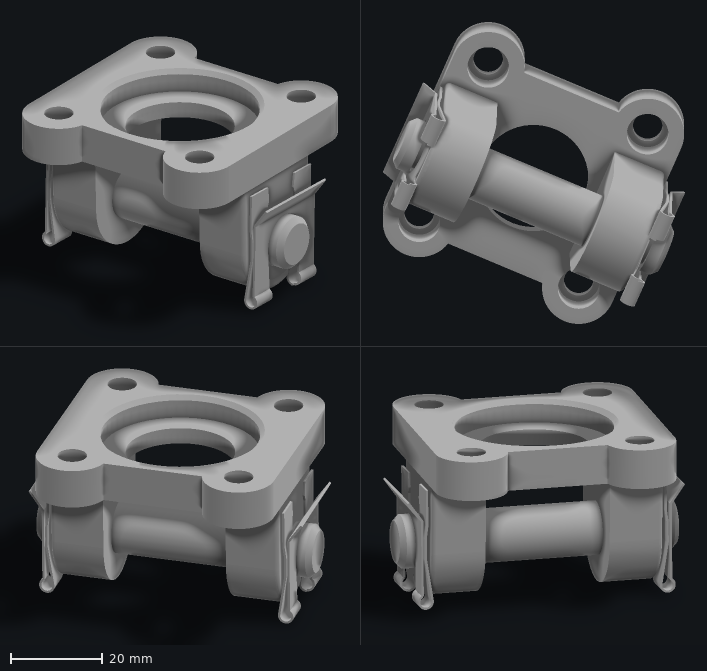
import cadquery as cq
import math


flange_top = 25.0
flange_thickness = 8.8
flange_bottom = flange_top - flange_thickness
hole_spacing = 38.0
ear_radius = 8.0
flange_length = hole_spacing + 2 * ear_radius
waist_width = 42.0
screw_hole_diameter = 6.5
screw_recess_diameter = 9.15
screw_seat_thickness = 2.3

bore_diameter = 24.0
seat_diameter = 34.95
seat_depth = 5.15
seat_chamfer = 1.0

lug_outer_x = 26.0
lug_thickness = 12.05
lug_radius = 12.0
lug_root_half_width = 12.5
lug_fillet = 0.95

pin_length = 63.0
pin_radius = 6.0
pin_chamfer = 1.25
groove_radius = 4.5
groove_outer_x = 27.65
groove_width = 1.1

sheet = 0.5
clip_half_width = 11.1
clip_tilt = -1.5
loop_outer_radius = 1.75
loop_radius = loop_outer_radius - sheet / 2
loop_inner_radius = loop_outer_radius - sheet
loop_x = -27.3
loop_z = -11.1
loop_half_gap = 4.7
gap_corner_radius = 0.75

front_leg_x = -28.05
front_hole_radius = 6.25
front_slot_taper = math.radians(5)
lip_bottom_z = 7.25
lip_tip_x = -31.05
lip_tip_z = 11.5

back_leg_lean = math.radians(9)
back_leg_bend_z = -1.4
back_hole_radius = 6.05
back_edge_radius = 9.5
prong_x = -26.9
prong_bend_z = 3.15
prong_straight_z = 6.0
prong_top_z = 14.1
prong_half_gap = 5.05
nose_half_gap = 4.55
nose_bottom_z = 9.45
nose_z = 10.85
mouth_half_gap = 5.0


def make_flange():
    """Plate with four round ears, recessed screw holes and a stepped bore."""
    base = cq.Workplane("XY", origin=(0, 0, flange_bottom))
    ear_centres = base.rect(hole_spacing, hole_spacing, forConstruction=True).vertices()
    flange = base.rect(flange_length, hole_spacing).extrude(flange_thickness)
    flange = flange.union(base.rect(hole_spacing, waist_width).extrude(flange_thickness))
    flange = flange.union(ear_centres.circle(ear_radius).extrude(flange_thickness))

    screw_recess_depth = flange_thickness - screw_seat_thickness
    flange = flange.cut(ear_centres.circle(screw_hole_diameter / 2).extrude(flange_thickness))
    flange = flange.cut(ear_centres.circle(screw_recess_diameter / 2).extrude(screw_recess_depth))

    bore = base.circle(bore_diameter / 2).extrude(flange_thickness)
    seat = cq.Workplane("XY", origin=(0, 0, flange_top)).circle(seat_diameter / 2).extrude(-seat_depth)
    flange = flange.cut(bore).cut(seat)
    seat_rim = cq.selectors.RadiusNthSelector(-1)
    return flange.faces(">Z").edges(seat_rim).chamfer(seat_chamfer)


def make_lug():
    """Lug on the -X side: sides that narrow slightly downwards into a half-round bottom."""
    lug = (
        cq.Workplane("YZ", origin=(-lug_outer_x, 0, 0))
        .moveTo(-lug_root_half_width, flange_bottom)
        .lineTo(-lug_radius, 0)
        .threePointArc((0, -lug_radius), (lug_radius, 0))
        .lineTo(lug_root_half_width, flange_bottom)
        .close()
        .extrude(lug_thickness)
    )
    return lug.faces("<X").edges("not >Z").fillet(lug_fillet)


def make_housing(pin, clips):
    """Flange with two lugs, bored for the pin and relieved where the clips press in."""
    lug = make_lug()
    pin_hole = cq.Workplane("YZ").circle(pin_radius).extrude(lug_outer_x, both=True)
    housing = make_flange().union(lug).union(lug.mirror("YZ")).cut(pin_hole)
    for clip in clips:
        housing = housing.cut(clip)
    return housing


def make_pin():
    """Chamfered pin with a retaining groove near each end."""
    pin = cq.Workplane("YZ").circle(pin_radius).extrude(pin_length / 2, both=True)
    pin = pin.faces("<X or >X").chamfer(pin_chamfer)
    groove = (
        cq.Workplane("YZ", origin=(-groove_outer_x, 0, 0))
        .circle(pin_radius)
        .circle(groove_radius)
        .extrude(groove_width)
    )
    return pin.cut(groove).cut(groove.mirror("YZ"))


def strip(path):
    """Bent sheet strip of full clip width whose middle follows the (x, z) path."""
    directions = [math.atan2(q[1] - p[1], q[0] - p[0]) for p, q in zip(path, path[1:])]
    before = directions[:1] + directions
    after = directions + directions[-1:]
    left_side = []
    right_side = []
    for (x, z), angle_in, angle_out in zip(path, before, after):
        normal = (angle_in + angle_out + math.pi) / 2
        reach = sheet / 2 / math.cos((angle_out - angle_in) / 2)
        dx = reach * math.cos(normal)
        dz = reach * math.sin(normal)
        left_side.append((x + dx, z + dz))
        right_side.append((x - dx, z - dz))
    outline = cq.Workplane("XZ").polyline(left_side + right_side[::-1]).close()
    return outline.extrude(clip_half_width, both=True)


def loop_point(radius, angle):
    return (loop_x + radius * math.cos(angle), loop_z + radius * math.sin(angle))


def make_loop(start_angle, end_angle):
    """Open round loop of full clip width, running anticlockwise under the loop centre."""
    middle_angle = (start_angle + end_angle) / 2
    return (
        cq.Workplane("XZ")
        .moveTo(*loop_point(loop_outer_radius, start_angle))
        .threePointArc(
            loop_point(loop_outer_radius, middle_angle),
            loop_point(loop_outer_radius, end_angle),
        )
        .lineTo(*loop_point(loop_inner_radius, end_angle))
        .threePointArc(
            loop_point(loop_inner_radius, middle_angle),
            loop_point(loop_inner_radius, start_angle),
        )
        .close()
        .extrude(clip_half_width, both=True)
    )


def cut_front_slot(leg):
    """Round hole for the pin with a slot below it that narrows downwards."""
    side_y = front_hole_radius * math.cos(front_slot_taper)
    side_z = -front_hole_radius * math.sin(front_slot_taper)
    slot_bottom_z = loop_z - loop_outer_radius
    bottom_y = side_y - (side_z - slot_bottom_z) * math.tan(front_slot_taper)
    slot = (
        cq.Workplane("YZ", origin=(lip_tip_x, 0, 0))
        .moveTo(-bottom_y, slot_bottom_z)
        .lineTo(-side_y, side_z)
        .threePointArc((0, front_hole_radius), (side_y, side_z))
        .lineTo(bottom_y, slot_bottom_z)
        .close()
        .extrude(loop_x - lip_tip_x)
    )
    return leg.cut(slot)


def make_back_opening(section, depth):
    """Tool for the back leg: pin clearance below the bend and a slot between nosed prongs above."""
    clearance_y = math.sqrt(back_hole_radius**2 - back_leg_bend_z**2)
    return (
        section.moveTo(-clearance_y, back_leg_bend_z)
        .threePointArc((0, -back_hole_radius), (clearance_y, back_leg_bend_z))
        .lineTo(prong_half_gap, back_leg_bend_z)
        .lineTo(prong_half_gap, nose_bottom_z)
        .lineTo(nose_half_gap, nose_z)
        .lineTo(mouth_half_gap, prong_top_z)
        .lineTo(-mouth_half_gap, prong_top_z)
        .lineTo(-nose_half_gap, nose_z)
        .lineTo(-prong_half_gap, nose_bottom_z)
        .lineTo(-prong_half_gap, back_leg_bend_z)
        .close()
        .extrude(depth)
    )


def make_loop_gap(section, depth):
    """Tool for the gap between the two loops, under the round lower edge of the back leg."""
    gap_bottom_z = loop_z - 2 * loop_outer_radius
    gap = section.center(0, gap_bottom_z / 2).rect(2 * loop_half_gap, -gap_bottom_z).extrude(depth)
    gap = gap.cut(section.circle(back_edge_radius).extrude(depth))
    return gap.edges("|X and >Z").fillet(gap_corner_radius)


def make_clip():
    """Spring clip on the -X side: slotted front leg, bottom loops and pronged back leg."""
    front_angle = math.acos((front_leg_x - loop_x) / loop_radius)
    loop_bottom_angle = 1.5 * math.pi
    back_angle = 2 * math.pi + back_leg_lean

    front_leg_bottom_z = loop_point(loop_radius, front_angle)[1]
    front_leg = strip(
        [(front_leg_x, front_leg_bottom_z), (front_leg_x, lip_bottom_z), (lip_tip_x, lip_tip_z)]
    )
    front = cut_front_slot(front_leg.union(make_loop(front_angle, loop_bottom_angle)))

    back_bottom_x, back_bottom_z = loop_point(loop_radius, back_angle)
    back_leg_x = back_bottom_x - (back_leg_bend_z - back_bottom_z) * math.tan(back_leg_lean)
    back_leg = strip(
        [
            (back_bottom_x, back_bottom_z),
            (back_leg_x, back_leg_bend_z),
            (back_leg_x, prong_bend_z),
            (prong_x, prong_straight_z),
            (prong_x, prong_top_z),
        ]
    )
    section = cq.Workplane("YZ", origin=(back_leg_x - sheet, 0, 0))
    depth = loop_x + loop_outer_radius - back_leg_x + sheet
    back = back_leg.cut(make_back_opening(section, depth))
    back = back.union(make_loop(loop_bottom_angle, back_angle))

    clip = front.union(back).cut(make_loop_gap(section, depth))
    return clip.rotate((0, 0, 0), (1, 0, 0), clip_tilt)


pin = make_pin()
clip = make_clip()
clips = [clip, clip.mirror("YZ")]
housing = make_housing(pin, clips)

result = cq.Compound.makeCompound([housing.val(), pin.val(), *[c.val() for c in clips]])